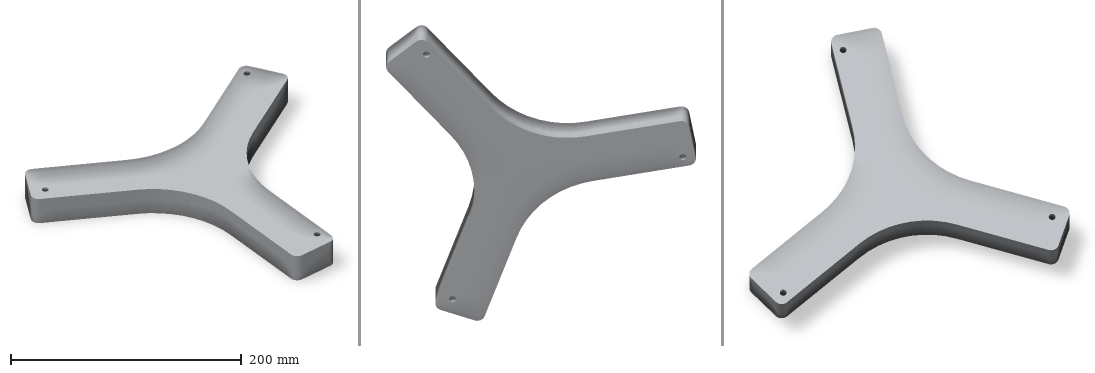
import cadquery as cq
import math

thickness = 25.8
arm_length = 153.9
arm_width = 44.8
arm_offset = 0.5
notch_radius = 86.3
corner_radius = 6.8
arm_angles = [90, 210, 330]
arm_pitch = 120

hole_diameter = 6.0
hole_circle_radius = 141.0
hole_circle_center = (-1.0, 2.5)
hole_lead_angle = 5.2

arc_fractions = [1, 0.8, 0.55, 0.3, 0]
seam_height = -1.0
left_arc_heights = [seam_height, 3.7, 7.5, 8.8, 8.0]
right_arc_heights = [seam_height, -2.8, -4.3, -4.8, -4.8]
left_corner_height = 0.5
right_corner_height = -2.0
left_tip_height = 0.5
right_tip_height = -0.5
seam_angles = [39.5, 30, 30]
clearance = 0.5

left_edge = arm_width / 2 + arm_offset
right_edge = -arm_width / 2 + arm_offset
notch_turn = 180 - arm_pitch
pitch_sin = math.sin(math.radians(arm_pitch))
pitch_cos = math.cos(math.radians(arm_pitch))
left_notch = (left_edge * pitch_cos - right_edge) / pitch_sin
right_notch = left_notch * pitch_cos + left_edge * pitch_sin
notch_tangent = notch_radius * math.tan(math.radians(notch_turn / 2))
left_root = left_notch + notch_tangent
right_root = right_notch + notch_tangent
corner_start = arm_length - corner_radius


def place(arm_angle, along, left, z=0.0):
    """Turn a position in an arm's frame into a point of the plate."""
    turn = math.radians(arm_angle)
    x = along * math.cos(turn) - left * math.sin(turn)
    y = along * math.sin(turn) + left * math.cos(turn)
    return cq.Vector(x, y, z)


def make_plate():
    """The whole plate: rounded three-armed outline with a hole in each arm."""
    outline = []
    for angle in arm_angles:
        outline.append(place(angle, arm_length, right_edge))
        outline.append(place(angle, arm_length, left_edge))
        outline.append(place(angle, left_notch, left_edge))
    plate = cq.Workplane("XY").polyline([p.toTuple()[:2] for p in outline]).close().extrude(thickness)

    notch_box = cq.selectors.BoxSelector(
        (-arm_width, -arm_width, 0), (arm_width, arm_width, thickness)
    )
    plate = plate.edges("|Z").edges(notch_box).fillet(notch_radius)
    end_edges = cq.Workplane(plate.val()).edges("|Z").filter(
        lambda edge: math.hypot(edge.Center().x, edge.Center().y) > corner_start
    )
    plate = plate.newObject(end_edges.vals()).fillet(corner_radius)

    holes = (
        cq.Workplane("XY")
        .center(*hole_circle_center)
        .polarArray(hole_circle_radius, arm_angles[0] + hole_lead_angle, 360, len(arm_angles))
        .circle(hole_diameter / 2)
        .extrude(thickness)
    )
    return plate.cut(holes)


def arc_point(arm_angle, root, edge, arc_angle, height):
    """Point of the parting surface just outside the notch arc that starts at an arm's root."""
    turn = math.radians(arc_angle)
    reach = notch_radius - clearance
    along = root - reach * math.sin(turn)
    bulge = notch_radius - reach * math.cos(turn)
    left = edge + math.copysign(bulge, edge)
    return place(arm_angle, along, left, thickness / 2 + height)


def straight_pair(arm_angle, along, left_height, right_height):
    """Left and right points of the parting surface across the straight part of an arm."""
    left_point = place(arm_angle, along, left_edge + clearance, thickness / 2 + left_height)
    right_point = place(arm_angle, along, right_edge - clearance, thickness / 2 + right_height)
    return left_point, right_point


def section_below(left_point, right_point):
    """Upright four-sided wire from a line on the parting surface down past the underside."""
    right_foot = cq.Vector(right_point.x, right_point.y, -clearance)
    left_foot = cq.Vector(left_point.x, left_point.y, -clearance)
    return cq.Wire.makePolygon([left_point, right_point, right_foot, left_foot], close=True)


def make_arm_split(arm_angle, left_seam_angle, right_seam_angle):
    """Space under the twisted parting surface of one arm."""
    pairs = []
    for fraction, left_height, right_height in zip(arc_fractions, left_arc_heights, right_arc_heights):
        left_turn = fraction * left_seam_angle
        right_turn = fraction * right_seam_angle
        left_point = arc_point(arm_angle, left_root, left_edge, left_turn, left_height)
        right_point = arc_point(arm_angle, right_root, right_edge, right_turn, right_height)
        pairs.append((left_point, right_point))
    pairs.append(straight_pair(arm_angle, corner_start, left_corner_height, right_corner_height))
    pairs.append(straight_pair(arm_angle, arm_length + clearance, left_tip_height, right_tip_height))
    return cq.Solid.makeLoft([section_below(*pair) for pair in pairs], True)


def make_hub_split():
    """Space under the flat triangle between the three seams."""
    seams = [
        arc_point(angle, left_root, left_edge, seam_angle, seam_height)
        for angle, seam_angle in zip(arm_angles, seam_angles)
    ]
    hub = cq.Workplane("XY").workplane(offset=-clearance)
    hub = hub.polyline([p.toTuple()[:2] for p in seams]).close()
    return hub.extrude(clearance + thickness / 2 + seam_height)


def make_split():
    """Everything under the parting surface, as one tool."""
    split = make_hub_split()
    for index, angle in enumerate(arm_angles):
        right_seam_angle = notch_turn - seam_angles[index - 1]
        split = split.union(make_arm_split(angle, seam_angles[index], right_seam_angle))
    return split


plate = make_plate()
split = make_split()

lower_half = plate.intersect(split).solids()

upper_half = plate.cut(split).solids()

result = cq.Compound.makeCompound([lower_half.val(), upper_half.val()])